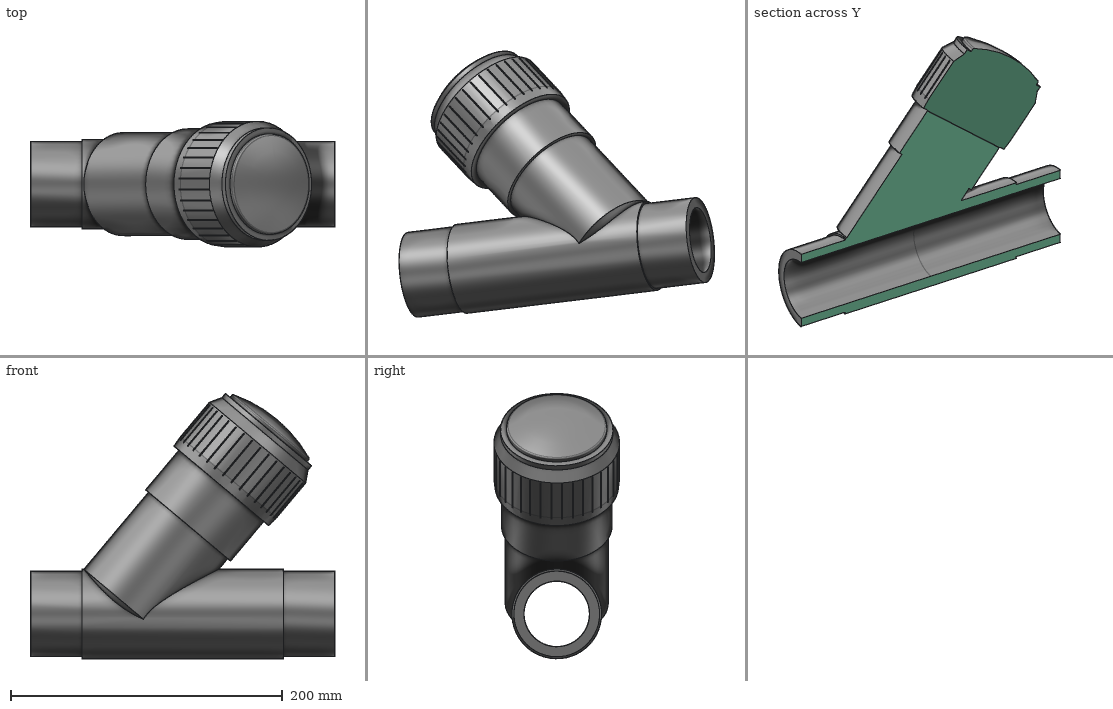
import cadquery as cq
import math

pipe_length = 224.0
pipe_diameter = 63.0
sleeve_length = 148.0
sleeve_diameter = 66.0
bore_diameter = 48.0

branch_foot_x = -50.7
branch_angle = 50.0
branch_diameter = 76.0
collar_diameter = 81.53

branch_start = 11.0
collar_start = 85.0
cap_start = 123.0
grip_start = 131.2
shoulder_start = 164.5
rim_start = 173.0
rim_end = 177.0
disc_end = 180.3
dome_apex = 186.7

foot_taper = 32.0
foot_tip_diameter = 52.0

skirt_diameter = 91.0
grip_diameter = 92.5
rim_diameter = 82.8
disc_diameter = 73.9
disc_rounding = 1.2

groove_count = 36
groove_width = 0.7
groove_depth = 0.25
groove_overrun = 1.7
groove_end_margin = 1.4
groove_start = grip_start - groove_overrun
groove_end = shoulder_start - groove_end_margin

branch_plane = cq.Plane(
    origin=(branch_foot_x, 0, 0),
    xDir=(0, 1, 0),
    normal=(math.cos(math.radians(branch_angle)), 0, math.sin(math.radians(branch_angle))),
)


def pipe_cylinder(diameter, length):
    return cq.Workplane("YZ").circle(diameter / 2).extrude(length / 2, both=True)


def branch_cylinder(diameter, start, end):
    return cq.Workplane(branch_plane).workplane(offset=start).circle(diameter / 2).extrude(end - start)


def branch_cone(start_diameter, end_diameter, start, end):
    return (
        cq.Workplane(branch_plane)
        .workplane(offset=start)
        .circle(start_diameter / 2)
        .workplane(offset=end - start)
        .circle(end_diameter / 2)
        .loft(ruled=True)
    )


def make_body():
    foot_height = (branch_diameter - foot_tip_diameter) / 2 * math.tan(math.radians(foot_taper))
    foot = branch_cone(foot_tip_diameter, branch_diameter, branch_start - foot_height, branch_start)
    return (
        pipe_cylinder(pipe_diameter, pipe_length)
        .union(pipe_cylinder(sleeve_diameter, sleeve_length))
        .union(foot)
        .union(branch_cylinder(branch_diameter, branch_start, collar_start))
        .union(branch_cylinder(collar_diameter, collar_start, cap_start))
        .cut(pipe_cylinder(bore_diameter, pipe_length))
    )


def make_grip_grooves():
    half_pitch = 180 / groove_count
    return (
        cq.Workplane(branch_plane)
        .workplane(offset=groove_start)
        .polarArray(grip_diameter / 2, half_pitch, 360, groove_count)
        .rect(2 * groove_depth, groove_width)
        .extrude(groove_end - groove_start)
    )


def make_cap():
    half_section_plane = cq.Plane(
        origin=branch_plane.origin,
        xDir=branch_plane.xDir,
        normal=branch_plane.xDir.cross(branch_plane.zDir),
    )
    disc_radius = disc_diameter / 2
    dome_radius = disc_radius - disc_rounding
    dome_rise = dome_apex - disc_end
    sphere_radius = (dome_radius**2 + dome_rise**2) / (2 * dome_rise)
    dome_mid_radius = dome_radius / 2
    dome_mid = dome_apex - sphere_radius + math.sqrt(sphere_radius**2 - dome_mid_radius**2)
    rounding_reach = disc_rounding * math.cos(math.radians(45))

    profile = (
        cq.Workplane(half_section_plane)
        .moveTo(0, cap_start)
        .lineTo(skirt_diameter / 2, cap_start)
        .lineTo(grip_diameter / 2, grip_start)
        .lineTo(grip_diameter / 2, shoulder_start)
        .lineTo(rim_diameter / 2, rim_start)
        .lineTo(rim_diameter / 2, rim_end)
        .lineTo(disc_radius, rim_end)
        .lineTo(disc_radius, disc_end - disc_rounding)
        .threePointArc(
            (dome_radius + rounding_reach, disc_end - disc_rounding + rounding_reach),
            (dome_radius, disc_end),
        )
        .threePointArc((dome_mid_radius, dome_mid), (0, dome_apex))
        .close()
    )
    return profile.revolve(360, (0, 0), (0, 1)).cut(make_grip_grooves())


body = make_body()
cap = make_cap()
result = cq.Compound.makeCompound([body.val(), cap.val()])